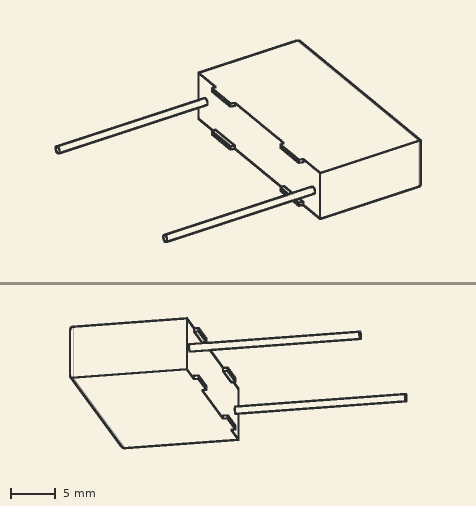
import cadquery as cq
import math


case_width = 25.5
case_depth = 13.5
case_thickness = 6.0
back_edge_radius = 0.5

foot_height = 0.5
foot_base_width = 4.1
foot_draft_degrees = 15
foot_taper = foot_height * math.tan(math.radians(foot_draft_degrees))
foot_thickness = 0.4
foot_side_inset = 3.55
foot_centre_x = case_width / 2 - foot_side_inset - foot_base_width / 2

lead_pitch = 22.5
lead_diameter = 0.84
lead_length = 19.5


def make_foot(centre_x, bottom_z):
    """Trapezoidal standoff projecting from the lead face toward -Y."""
    base_half = foot_base_width / 2
    tip_half = base_half - foot_taper
    return (
        cq.Workplane("XY", origin=(centre_x, 0, bottom_z))
        .moveTo(-base_half, 0)
        .lineTo(-tip_half, -foot_height)
        .lineTo(tip_half, -foot_height)
        .lineTo(base_half, 0)
        .close()
        .extrude(foot_thickness)
    )


def make_case():
    """Block with rounded edges around its back face and a foot near each front corner."""
    case = (
        cq.Workplane("XY")
        .box(case_width, case_depth, case_thickness, centered=(True, False, True))
        .faces(">Y")
        .edges()
        .fillet(back_edge_radius)
    )
    lower_z = -case_thickness / 2
    upper_z = case_thickness / 2 - foot_thickness
    for centre_x in (-foot_centre_x, foot_centre_x):
        for bottom_z in (lower_z, upper_z):
            case = case.union(make_foot(centre_x, bottom_z))
    return case


def make_lead(centre_x):
    """Straight round wire that butts against the lead face."""
    start = cq.Vector(centre_x, 0, 0)
    toward_tip = cq.Vector(0, -1, 0)
    return cq.Solid.makeCylinder(lead_diameter / 2, lead_length, start, toward_tip)


case = make_case()
leads = [make_lead(side * lead_pitch / 2) for side in (-1, 1)]

result = cq.Compound.makeCompound([case.val(), *leads])